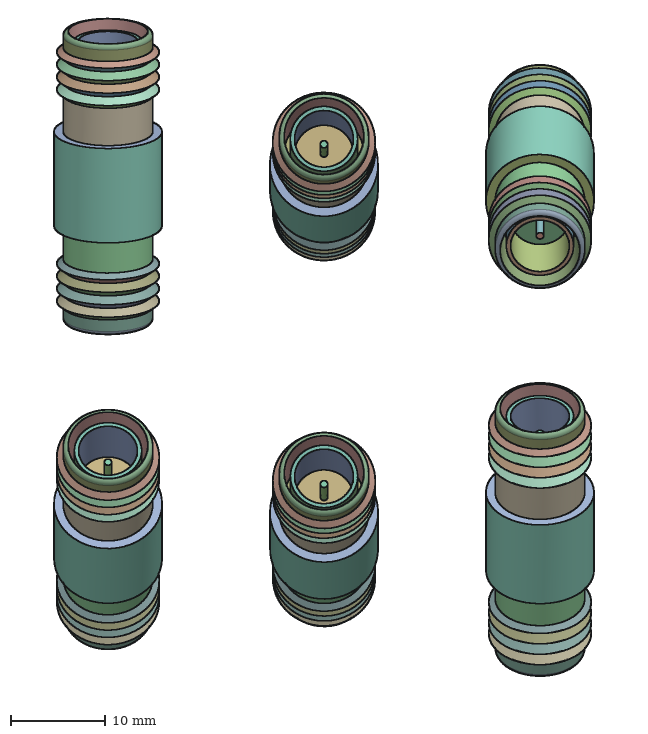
import cadquery as cq

length = 32.5
body_radius = 4.78
rim_fillet = 0.5

collar_radius = 5.75
collar_bottom = 10.73
collar_height = 10.55

crest_radius = 5.45
root_radius = 4.55
crest_count = 4
crest_pitch = 1.4
first_crest_depth = 2.3

bore_radius = 4.23
socket_depth = 7.0
sleeve_outer_radius = 3.58
sleeve_inner_radius = 3.12
sleeve_recess = 1.05
pin_radius = 0.4
pin_recess = 3.25


def disc(radius, bottom, height):
    """Solid cylinder on the Z axis."""
    return cq.Workplane("XY").workplane(offset=bottom).circle(radius).extrude(height)


def make_thread():
    """Solid stack of V-shaped rings below the top end, meeting the body at both ends."""
    half_pitch = crest_pitch / 2
    flank_slope = half_pitch / (crest_radius - root_radius)
    end_run = flank_slope * (crest_radius - body_radius)
    first_crest = length - first_crest_depth
    last_crest = first_crest - (crest_count - 1) * crest_pitch

    outline = [(0, first_crest + end_run), (body_radius, first_crest + end_run)]
    for index in range(crest_count):
        crest = first_crest - index * crest_pitch
        outline.append((crest_radius, crest))
        if index < crest_count - 1:
            outline.append((root_radius, crest - half_pitch))
    outline += [(body_radius, last_crest - end_run), (0, last_crest - end_run)]

    thread = cq.Workplane("XZ").polyline(outline).close().revolve(360, (0, 0), (0, 1))
    return thread, last_crest - end_run, first_crest + end_run


def make_socket():
    """Cavity to remove from the top end, leaving the sleeve and the pin standing."""
    floor = length - socket_depth
    sleeve_height = socket_depth - sleeve_recess
    sleeve = disc(sleeve_outer_radius, floor, sleeve_height)
    sleeve = sleeve.cut(disc(sleeve_inner_radius, floor, sleeve_height))
    pin = disc(pin_radius, floor, socket_depth - pin_recess)
    return disc(bore_radius, floor, socket_depth).cut(sleeve).cut(pin)


def make_top_end(stem_bottom):
    """Threaded end from the collar face up to the rim, with its socket."""
    thread, thread_bottom, thread_top = make_thread()
    stem = disc(body_radius, stem_bottom, thread_bottom - stem_bottom)
    tip = disc(body_radius, thread_top, length - thread_top).faces(">Z").edges().fillet(rim_fillet)
    return stem.union(thread).union(tip).cut(make_socket())


collar_top = collar_bottom + collar_height
collar = disc(collar_radius, collar_bottom, collar_height)
top_end = make_top_end(collar_top)
bottom_end = make_top_end(length - collar_bottom).mirror("XY").translate((0, 0, length))

result = collar.union(top_end).union(bottom_end)